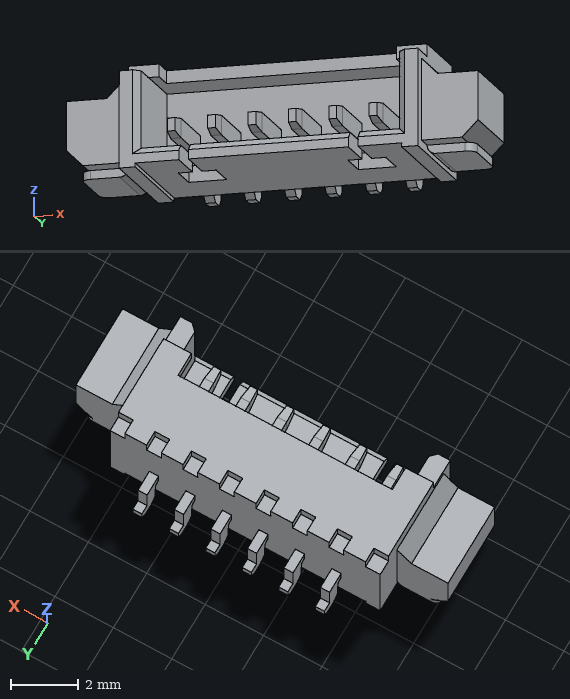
import cadquery as cq


PIN_COUNT = 6
PITCH = 1.25

BODY_WIDTH = 9.25
BODY_DEPTH = 4.2
BODY_HEIGHT = 3.4
ROOF_THICKNESS = 0.4
ROOF_SETBACK = 1.0
WINDOW_WIDTH = 7.34
WINDOW_BACK = 1.8
NOTCH = 0.5
FOOT_WIDTH = 0.5
STANDOFF = 0.12

CAVITY_WIDTH = 8.0
CAVITY_DEPTH = 2.98
FLOOR_TOP = 0.62
MOUTH_CHAMFER = 0.21

OPENING_X = 2.625
SLOT_WIDTH = 0.3
OPENING_WIDTH = 1.17
OPENING_FRONT = 1.46
OPENING_BACK = 2.57

PIN_WIDTH = 0.32
PIN_BOTTOM = 1.04
PIN_TOP = 1.64
PIN_FRONT = 0.4
TIP_LENGTH = 0.5
TIP_WIDTH = 0.24
TIP_HEIGHT = 0.4
TAIL_TOP = 1.37
TAIL_REACH = 1.0
LEG_INNER = 0.19
LEG_OUTER = 0.69
TOE_HEIGHT = 0.5
TOE_CHAMFER = 0.2
BEND_RADIUS = 0.14

OVERALL_WIDTH = 12.75
EAR_FRONT = 0.4
EAR_LENGTH = 2.8
EAR_BOTTOM = 0.27
EAR_TOP = 2.29
EAR_CHAMFER = 0.5

TAB_TIP_X = 6.1
TAB_FRONT = 1.0
TAB_CORNER_RADIUS = 0.3
TAB_BEND_RADIUS = 0.265

ROOF_BOTTOM = BODY_HEIGHT - ROOF_THICKNESS
PIN_XS = [(i - (PIN_COUNT - 1) / 2) * PITCH for i in range(PIN_COUNT)]


def box(x_range, y_range, z_range):
    """Axis-aligned block between the given limits."""
    (x0, x1), (y0, y1), (z0, z1) = x_range, y_range, z_range
    return cq.Workplane("XY").box(x1 - x0, y1 - y0, z1 - z0, centered=False).translate((x0, y0, z0))


def centred(x, width):
    """Limits of a span of the given width about x."""
    return (x - width / 2, x + width / 2)


def make_cavity():
    """Room for the plug, with a flared mouth at the sides and floor."""
    cavity = box(centred(0, CAVITY_WIDTH), (0, CAVITY_DEPTH), (FLOOR_TOP, ROOF_BOTTOM))
    height = ROOF_BOTTOM - FLOOR_TOP
    mouth_height = height + MOUTH_CHAMFER
    flare = (
        cq.Workplane("XZ", origin=(0, 0, ROOF_BOTTOM))
        .center(0, -mouth_height / 2)
        .rect(CAVITY_WIDTH + 2 * MOUTH_CHAMFER, mouth_height)
        .workplane(offset=-MOUTH_CHAMFER)
        .center(0, MOUTH_CHAMFER / 2)
        .rect(CAVITY_WIDTH, height)
        .loft(ruled=True)
    )
    return cavity.union(flare)


def make_housing():
    """Shell with the plug cavity, roof cutouts and floor openings."""
    full_width = centred(0, BODY_WIDTH)
    roof_z = (ROOF_BOTTOM, BODY_HEIGHT)
    floor_z = (0, FLOOR_TOP)
    housing = box(full_width, (0, BODY_DEPTH), (0, BODY_HEIGHT))
    housing = housing.cut(make_cavity())
    housing = housing.cut(box(full_width, (0, ROOF_SETBACK), roof_z))
    housing = housing.cut(box(centred(0, WINDOW_WIDTH), (0, WINDOW_BACK), roof_z))
    housing = housing.cut(box(centred(0, BODY_WIDTH - 2 * FOOT_WIDTH), (0, BODY_DEPTH), (0, STANDOFF)))

    corner_x = (BODY_WIDTH - NOTCH) / 2
    for x in [-corner_x, *PIN_XS, corner_x]:
        housing = housing.cut(box(centred(x, NOTCH), (BODY_DEPTH - NOTCH, BODY_DEPTH), roof_z))

    for x in (-OPENING_X, OPENING_X):
        housing = housing.cut(box(centred(x, SLOT_WIDTH), (0, OPENING_FRONT), floor_z))
        housing = housing.cut(box(centred(x, OPENING_WIDTH), (OPENING_FRONT, OPENING_BACK), floor_z))
    return housing


def make_pin():
    """Contact at X = 0: tapered blade in front, bent solder tail behind."""
    shoulder = PIN_FRONT + TIP_LENGTH
    height = PIN_TOP - PIN_BOTTOM
    middle = (PIN_TOP + PIN_BOTTOM) / 2
    blade = box(centred(0, PIN_WIDTH), (shoulder, BODY_DEPTH), (PIN_BOTTOM, PIN_TOP))
    tip = (
        cq.Workplane("XZ", origin=(0, PIN_FRONT, middle))
        .rect(TIP_WIDTH, TIP_HEIGHT)
        .workplane(offset=-TIP_LENGTH)
        .rect(PIN_WIDTH, height)
        .loft(ruled=True)
    )
    leg_inner = BODY_DEPTH + LEG_INNER
    leg_outer = BODY_DEPTH + LEG_OUTER
    toe = BODY_DEPTH + TAIL_REACH
    tail = (
        cq.Workplane("YZ", origin=(-PIN_WIDTH / 2, 0, 0))
        .moveTo(CAVITY_DEPTH, TAIL_TOP)
        .lineTo(leg_outer, TAIL_TOP)
        .lineTo(leg_outer, TOE_HEIGHT)
        .lineTo(toe, TOE_HEIGHT)
        .lineTo(toe, TOE_CHAMFER)
        .lineTo(toe - TOE_CHAMFER, 0)
        .lineTo(leg_inner + TOE_CHAMFER, 0)
        .lineTo(leg_inner, TOE_CHAMFER)
        .lineTo(leg_inner, PIN_BOTTOM - BEND_RADIUS)
        .radiusArc((leg_inner - BEND_RADIUS, PIN_BOTTOM), -BEND_RADIUS)
        .lineTo(CAVITY_DEPTH, PIN_BOTTOM)
        .close()
        .extrude(PIN_WIDTH)
    )
    return blade.union(tip).union(tail)


def make_ear():
    """Ear on the +X side, with its solder tab underneath."""
    root = BODY_WIDTH / 2
    outer = OVERALL_WIDTH / 2
    back = EAR_FRONT + EAR_LENGTH
    ear = (
        cq.Workplane("XZ", origin=(0, back, 0))
        .moveTo(root, EAR_BOTTOM)
        .lineTo(outer - EAR_CHAMFER, EAR_BOTTOM)
        .lineTo(outer, EAR_BOTTOM + EAR_CHAMFER)
        .lineTo(outer, EAR_TOP)
        .lineTo(root + EAR_CHAMFER, EAR_TOP)
        .lineTo(root, EAR_TOP + EAR_CHAMFER)
        .close()
        .extrude(EAR_LENGTH)
    )
    tab = box((root, TAB_TIP_X), (TAB_FRONT, back), (0, EAR_BOTTOM))
    tab = tab.edges("|Z and >X").fillet(TAB_CORNER_RADIUS)
    tab = tab.edges("<X and <Z").fillet(TAB_BEND_RADIUS)
    return ear.union(tab)


result = make_housing()
for pin_x in PIN_XS:
    result = result.union(make_pin().translate((pin_x, 0, 0)))
right_ear = make_ear()
result = result.union(right_ear).union(right_ear.mirror("YZ"))